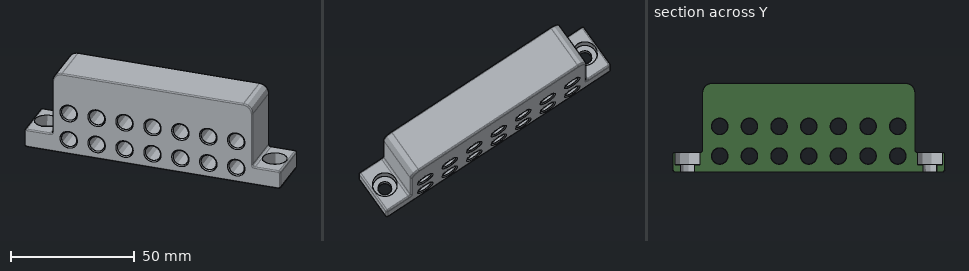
import cadquery as cq

base_length = 110.0
depth = 20.0
flange_height = 8.0

block_length = 86.0
total_height = 36.0
block_corner_radius = 4.0
inner_corner_radius = 1.0
corner_search_margin = 0.1

outline_radius = 0.75
bottom_chamfer = 0.6
front_radius = 0.5
rim_chamfer = 0.5

hole_diameter = 6.5
hole_pitch = 12.0
hole_columns = 7
hole_rows = 2
lowest_hole_height = 6.5

screw_diameter = 5.5
head_diameter = 10.0
head_depth = 5.0
screw_end_distance = 6.0


def make_body():
    """Block on a longer flange, standing on Z = 0 with its front face on Y = 0."""
    base = cq.Workplane("XY").box(base_length, depth, flange_height, centered=(True, False, False))
    block = cq.Workplane("XY").box(block_length, depth, total_height, centered=(True, False, False))
    body = base.union(block)
    body = body.edges("|Y and >Z").fillet(block_corner_radius)
    half_block = block_length / 2
    inner_corners = cq.selectors.BoxSelector(
        (-half_block - corner_search_margin, 0, flange_height - corner_search_margin),
        (half_block + corner_search_margin, depth, flange_height + corner_search_margin),
    )
    return body.edges("|Y").edges(inner_corners).fillet(inner_corner_radius)


def soften_outline(body):
    """Round the flange end tops and back outline, chamfer the bottom, then round the front outline."""
    body = body.faces("<X or >X").edges("|Y and >Z").fillet(outline_radius)
    body = body.faces(">Y").edges("not <Z").fillet(outline_radius)
    body = body.faces("<Z").edges("not <Y").chamfer(bottom_chamfer)
    return body.faces("<Y").edges().fillet(front_radius)


def hole_cutter(x, z):
    """Straight hole along Y with a countersunk rim at both faces."""
    radius = hole_diameter / 2
    rim_radius = radius + rim_chamfer
    profile = (
        cq.Workplane("XY")
        .moveTo(0, 0)
        .lineTo(rim_radius, 0)
        .lineTo(radius, rim_chamfer)
        .lineTo(radius, depth - rim_chamfer)
        .lineTo(rim_radius, depth)
        .lineTo(0, depth)
        .close()
    )
    return profile.revolve(360, (0, 0, 0), (0, 1, 0)).translate((x, 0, z))


def cut_hole_grid(body):
    first_x = -hole_pitch * (hole_columns - 1) / 2
    for row in range(hole_rows):
        for column in range(hole_columns):
            x = first_x + column * hole_pitch
            z = lowest_hole_height + row * hole_pitch
            body = body.cut(hole_cutter(x, z))
    return body


def cut_mounting_holes(body):
    """One counterbored screw hole through each flange end."""
    screw_x = base_length / 2 - screw_end_distance
    positions = [(-screw_x, depth / 2), (screw_x, depth / 2)]
    return (
        cq.Workplane("XY", origin=(0, 0, flange_height))
        .add(body)
        .pushPoints(positions)
        .cboreHole(screw_diameter, head_diameter, head_depth)
    )


body = soften_outline(make_body())
body = cut_hole_grid(body)
result = cut_mounting_holes(body).solids()